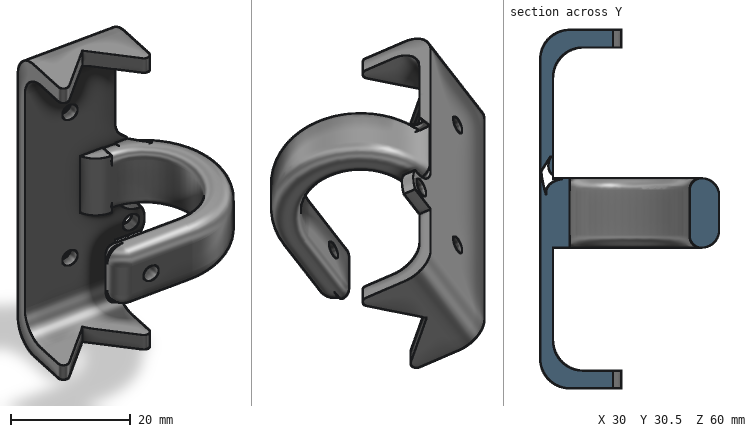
import cadquery as cq
import math

bracket_height = 60.0
bracket_width = 18.0
back_thickness = 2.2
leg_thickness = 3.0
bend_radius = 5.0
half_width = bracket_width / 2

notch_root_x = 6.0
prong_tip_x = notch_root_x + half_width
prong_tip_radius = 1.0

screw_hole_diameter = 3.0
screw_hole_spacing = 30.0

hook_outer_radius = 15.0
hook_thickness = 5.0
hook_outer_rounding = 3.0
hook_inner_rounding = hook_thickness - hook_outer_rounding
hook_ridge_radius = hook_outer_radius - hook_outer_rounding
hook_inner_radius = hook_outer_radius - hook_thickness
hook_center_x = hook_outer_radius
hook_center_y = 6.5
hook_bottom_z = 23.5
hook_height = 11.7
hook_mid_z = hook_bottom_z + hook_height / 2
hook_top_z = hook_bottom_z + hook_height
arm_length = 15.0
arm_end_y = hook_center_y - arm_length
arm_ridge_x = hook_center_x + hook_ridge_radius
arm_hole_diameter = 3.0
arm_hole_y = -1.75

gusset_radius = 4.0
bevel_y = 11.4
square_edge_length = 5.4
bevel_normal = (-0.61, 0.69, 0.39)

eyelet_bottom_z = 15.2
eyelet_top_z = 20.0
eyelet_mid_z = (eyelet_bottom_z + eyelet_top_z) / 2
eyelet_corner_y = 14.2
eyelet_end_y = 14.85
eyelet_blend_radius = 5.0
eyelet_hole_diameter = 3.2
eyelet_hole_y = 12.15

sin_45 = math.sqrt(0.5)


def x_hole(diameter, y, z, x_start, length):
    """Cylinder along +X used to drill a hole."""
    return cq.Workplane("YZ", origin=(x_start, y, z)).circle(diameter / 2).extrude(length)


def make_bracket():
    """C-shaped plate with bent corners and V-notched legs."""
    channel = (
        cq.Workplane("XY")
        .box(prong_tip_x, bracket_width, bracket_height, centered=(False, True, True))
        .edges("|Y and <X")
        .fillet(bend_radius)
    )
    cavity = (
        cq.Workplane("XY")
        .box(prong_tip_x, bracket_width, bracket_height - 2 * leg_thickness, centered=(False, True, True))
        .edges("|Y and <X")
        .fillet(bend_radius)
        .translate((back_thickness, 0, 0))
    )
    prong_corners = [
        (0, -half_width),
        (prong_tip_x, -half_width),
        (notch_root_x, 0),
        (prong_tip_x, half_width),
        (0, half_width),
    ]
    prong_prism = (
        cq.Workplane("XY")
        .polyline(prong_corners)
        .close()
        .extrude(bracket_height)
        .edges("|Z and >X")
        .fillet(prong_tip_radius)
    )
    return channel.cut(cavity).translate((0, 0, bracket_height / 2)).intersect(prong_prism)


def hook_section(ridge_x, origin_y, rounding, side):
    """Half of the hook's section in an XZ plane: a strip beside the ridge with its two far corners
    rounded; side is +1 for the half towards +X and -1 for the half towards -X."""
    far_x = ridge_x + side * rounding
    arc_x = ridge_x + side * rounding * sin_45
    arc_drop = rounding * (1 - sin_45)
    return (
        cq.Workplane("XZ", origin=(0, origin_y, 0))
        .moveTo(ridge_x, hook_bottom_z)
        .threePointArc((arc_x, hook_bottom_z + arc_drop), (far_x, hook_bottom_z + rounding))
        .lineTo(far_x, hook_top_z - rounding)
        .threePointArc((arc_x, hook_top_z - arc_drop), (ridge_x, hook_top_z))
        .close()
    )


def make_hook_half(rounding, side):
    """Outer (side +1) or inner (side -1) half of the hook: half ring, straight arm, rounded tip."""
    tip_center_y = arm_end_y + rounding
    ring = hook_section(arm_ridge_x, hook_center_y, rounding, side).revolve(
        180, (hook_center_x, 0, 0), (hook_center_x, 1, 0)
    )
    arm = hook_section(arm_ridge_x, hook_center_y, rounding, side).extrude(hook_center_y - tip_center_y)
    tip = hook_section(arm_ridge_x, tip_center_y, rounding, side).revolve(
        90, (arm_ridge_x, 0, 0), (arm_ridge_x, -side, 0)
    )
    return ring.union(arm).union(tip)


def make_hook():
    outer_half = make_hook_half(hook_outer_rounding, 1)
    inner_half = make_hook_half(hook_inner_rounding, -1)
    return outer_half.union(inner_half)


def make_hook_root():
    """Quarter-round foot, at full hook height, that carries the start of the ring on the plate."""
    return (
        cq.Workplane("XY", origin=(0, 0, hook_bottom_z))
        .moveTo(0, hook_center_y)
        .lineTo(hook_thickness, hook_center_y)
        .threePointArc(
            (hook_thickness * sin_45, hook_center_y - hook_thickness * sin_45),
            (0, hook_center_y - hook_thickness),
        )
        .close()
        .extrude(hook_height)
    )


def z_cylinder(radius):
    """Full-height cylinder on the axis of the hook ring."""
    return (
        cq.Workplane("XY")
        .center(hook_center_x, hook_center_y)
        .circle(radius)
        .extrude(bracket_height)
    )


def make_gusset():
    """Concave web in the plate's thickness plus a square-edged start of the ring's top, bevelled off."""
    end_y = half_width + gusset_radius
    peak_z = hook_top_z + gusset_radius
    arc_offset = gusset_radius * sin_45
    web = (
        cq.Workplane("YZ")
        .moveTo(half_width, hook_mid_z)
        .lineTo(end_y, hook_mid_z)
        .lineTo(end_y, hook_top_z)
        .threePointArc((end_y - arc_offset, peak_z - arc_offset), (half_width, peak_z))
        .close()
        .extrude(back_thickness)
        .intersect(z_cylinder(hook_outer_radius))
    )
    square_edge = (
        cq.Workplane("XY", origin=(0, half_width, hook_mid_z))
        .box(square_edge_length, hook_outer_radius, hook_top_z - hook_mid_z, centered=False)
        .intersect(z_cylinder(hook_outer_radius))
        .cut(z_cylinder(hook_ridge_radius))
    )
    bevel_plane = cq.Plane(origin=(back_thickness, bevel_y, hook_top_z), normal=bevel_normal)
    beyond_bevel = cq.Workplane(bevel_plane).rect(bracket_height, bracket_height).extrude(bracket_height)
    return web.union(square_edge).cut(beyond_bevel)


def make_eyelet():
    """Flat lug with a bowed end, blended into the side of the plate above it."""
    blend_center_y = half_width + eyelet_blend_radius
    blend_center_z = eyelet_top_z + eyelet_blend_radius
    blend_offset = eyelet_blend_radius * sin_45
    return (
        cq.Workplane("YZ")
        .moveTo(half_width, eyelet_bottom_z)
        .lineTo(eyelet_corner_y, eyelet_bottom_z)
        .threePointArc((eyelet_end_y, eyelet_mid_z), (eyelet_corner_y, eyelet_top_z))
        .lineTo(blend_center_y, eyelet_top_z)
        .threePointArc(
            (blend_center_y - blend_offset, blend_center_z - blend_offset), (half_width, blend_center_z)
        )
        .close()
        .extrude(back_thickness)
    )


def drill_holes(part):
    for direction in (-1, 1):
        hole_z = bracket_height / 2 + direction * screw_hole_spacing / 2
        part = part.cut(x_hole(screw_hole_diameter, 0, hole_z, 0, back_thickness))
    part = part.cut(x_hole(eyelet_hole_diameter, eyelet_hole_y, eyelet_mid_z, 0, back_thickness))
    arm_inner_x = hook_center_x + hook_inner_radius
    return part.cut(x_hole(arm_hole_diameter, arm_hole_y, hook_mid_z, arm_inner_x, hook_thickness))


body = make_bracket()
for feature in (make_hook(), make_hook_root(), make_gusset(), make_eyelet()):
    body = body.union(feature)
result = drill_holes(body)